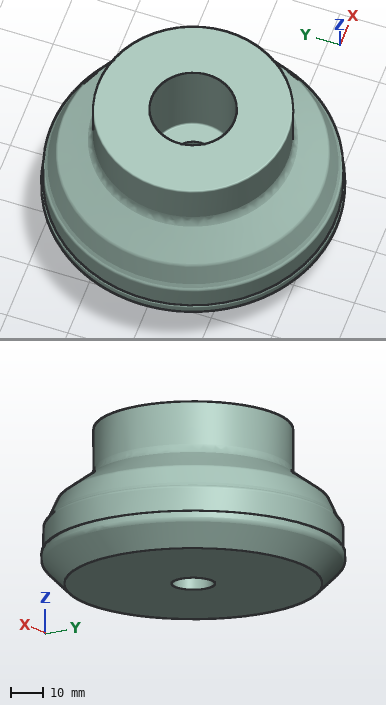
import cadquery as cq
import math

outer_diameter = 94.2
total_height = 50.0

base_height = 10.2
base_cone_angle = 45.0
base_cone_height = 7.2
base_lower_round = 1.9

rim_diameter = 93.0
rim_bevel_width = 1.1
rim_top_z = 18.0
shoulder_radius = 42.3
shoulder_z = 25.9
neck_diameter = 62.0
upper_cone_angle = 36.0

neck_top_round = 0.6
neck_root_round = 3.8
shoulder_round = 1.9
bevel_root_round = 3.6
rim_round = 0.9

bore_diameter = 13.5
counterbore_diameter = 27.0
counterbore_depth = 28.3
counterbore_floor_round = 0.6

outer_radius = outer_diameter / 2
rim_radius = rim_diameter / 2
base_upper_round = outer_radius - rim_radius
neck_radius = neck_diameter / 2
bore_radius = bore_diameter / 2
base_bottom_radius = outer_radius - base_cone_height * math.tan(math.radians(base_cone_angle))
bevel_root_radius = rim_radius - rim_bevel_width
bevel_root_z = rim_top_z + rim_bevel_width
neck_root_z = shoulder_z + (shoulder_radius - neck_radius) * math.tan(math.radians(upper_cone_angle))
counterbore_radius = counterbore_diameter / 2
counterbore_floor_z = total_height - counterbore_depth


def revolve_outline(points):
    """Revolve a closed (radius, height) outline about the Z axis."""
    return cq.Workplane("XZ").polyline(points).close().revolve(360, (0, 0), (0, 1))


def round_circle(body, radius, z, round_radius):
    """Fillet the circular edge of the given radius at height z."""
    tolerance = 0.001

    def matches(edge):
        return (
            edge.geomType() == "CIRCLE"
            and abs(edge.radius() - radius) < tolerance
            and abs(edge.Center().z - z) < tolerance
        )

    edges = body.edges().filter(matches)
    return edges.fillet(round_radius)


def make_base_ring():
    """Bored disc with a conical underside and a rounded rim."""
    body = revolve_outline([
        (bore_radius, 0),
        (base_bottom_radius, 0),
        (outer_radius, base_cone_height),
        (outer_radius, base_height),
        (bore_radius, base_height),
    ])
    body = round_circle(body, outer_radius, base_height, base_upper_round)
    return round_circle(body, outer_radius, base_cone_height, base_lower_round)


def make_housing():
    """Bell-shaped hub with a cylindrical neck and a counterbored hole."""
    body = revolve_outline([
        (bore_radius, base_height),
        (rim_radius, base_height),
        (rim_radius, rim_top_z),
        (bevel_root_radius, bevel_root_z),
        (shoulder_radius, shoulder_z),
        (neck_radius, neck_root_z),
        (neck_radius, total_height),
        (counterbore_radius, total_height),
        (counterbore_radius, counterbore_floor_z),
        (bore_radius, counterbore_floor_z),
    ])
    body = round_circle(body, neck_radius, total_height, neck_top_round)
    body = round_circle(body, neck_radius, neck_root_z, neck_root_round)
    body = round_circle(body, shoulder_radius, shoulder_z, shoulder_round)
    body = round_circle(body, bevel_root_radius, bevel_root_z, bevel_root_round)
    body = round_circle(body, rim_radius, rim_top_z, rim_round)
    return round_circle(body, counterbore_radius, counterbore_floor_z, counterbore_floor_round)


base_ring = make_base_ring()
housing = make_housing()

result = cq.Compound.makeCompound([base_ring.val(), housing.val()])